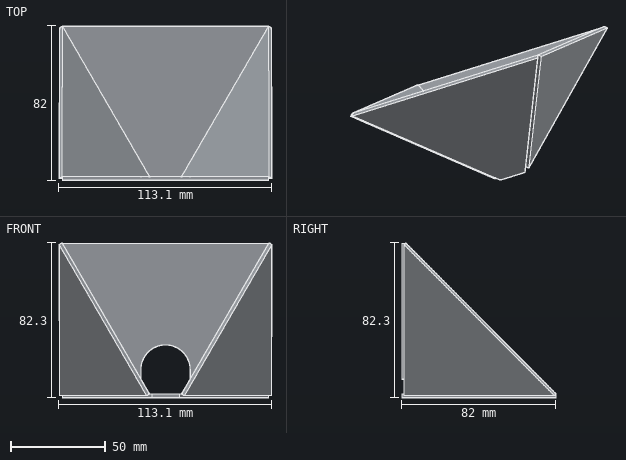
import cadquery as cq
import math

overall_width = 113.1
thickness = 2.0
depth = 80.0
throat_half_width = 8.5
arch_radius = 13.0
arch_centre_height = 13.0
side_tip_rise = 0.3


def side_normal(slope):
    """Outward unit normal of the right side plane x = throat + slope * (y + z)."""
    length = math.sqrt(1 + 2 * slope**2)
    return cq.Vector(1 / length, -slope / length, -slope / length)


tip_height = depth + side_tip_rise
nominal_slope = (overall_width / 2 - thickness - throat_half_width) / tip_height
side_offset = side_normal(nominal_slope).x * thickness
tip_half_width = overall_width / 2 - side_offset
flare = (tip_half_width - throat_half_width) / tip_height


def half_width(distance):
    """Half width of the floor or front wall at a distance from the corner line."""
    return throat_half_width + flare * distance


def flared_plate(plane, start, extrusion):
    """Symmetric trapezoid plate from the start distance out to the full depth."""
    outline = [
        (-half_width(start), start),
        (half_width(start), start),
        (half_width(depth), depth),
        (-half_width(depth), depth),
    ]
    return cq.Workplane(plane).polyline(outline).close().extrude(extrusion)


def make_floor():
    """Floor plate, continued forward under the front wall."""
    return flared_plate("XY", -thickness, -thickness)


def make_front_wall():
    """Upright plate with an arched opening that runs out through its foot."""
    wall = flared_plate("XZ", 0, thickness)
    arch = (
        cq.Workplane("XZ")
        .moveTo(-arch_radius, 0)
        .lineTo(arch_radius, 0)
        .lineTo(arch_radius, arch_centre_height)
        .threePointArc((0, arch_centre_height + arch_radius), (-arch_radius, arch_centre_height))
        .close()
        .extrude(thickness)
    )
    return wall.cut(arch)


def make_side_plate(side):
    """Square-edged triangular plate; side is +1 for right and -1 for left."""
    corners = [
        cq.Vector(side * throat_half_width, 0, 0),
        cq.Vector(side * tip_half_width, 0, tip_height),
        cq.Vector(side * half_width(depth), depth, 0),
    ]
    normal = side_normal(flare)
    outward = cq.Vector(side * normal.x, normal.y, normal.z)
    triangle = cq.Face.makeFromWires(cq.Wire.makePolygon(corners, close=True))
    return cq.Solid.extrudeLinear(triangle, outward * thickness)


floor = make_floor()
front_wall = make_front_wall()
side_plates = [make_side_plate(side) for side in (-1, 1)]

result = cq.Compound.makeCompound([floor.val(), front_wall.val(), *side_plates])